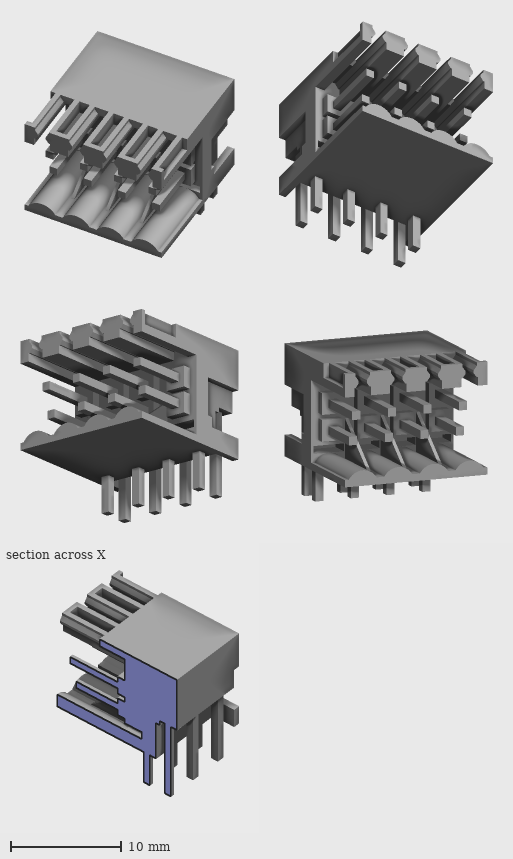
import cadquery as cq
import math

CONTACTS = 4
WIDTH = 14.0
DEPTH = 14.2
HEIGHT = 10.5
PITCH = WIDTH / CONTACTS
CONTACT_X = [PITCH * (i + 0.5) for i in range(CONTACTS)]
DIVIDER_X = [PITCH * i for i in range(1, CONTACTS)]

CAVITY_DEPTH = 8.0
FLOOR_THICKNESS = 0.67
ARM_THICKNESS = 2.16
CAVITY_TOP = HEIGHT - ARM_THICKNESS

RIDGE_RADIUS = 1.6
RIDGE_TOP = 1.45
RIB_THICKNESS = 0.33
RIB_HEIGHT = 3.83
RIB_LENGTH = 5.32

SLOT_LENGTH = 5.01
SLOT_MOUTH_HALF = 0.71
SLOT_THROAT_HALF = 0.4
SLOT_FLARE_HALF = 0.68
SLOT_BASE_HALF = 0.81
MOUTH_DROP = 0.28
THROAT_DROP = 0.71
ROOF_THICKNESS = 0.85
THROAT_END_DROP = 0.97
FLARE_DROP = 1.35

POCKET_WIDTH = 1.05
POCKET_DEPTH = 1.35
ARM_END_WALL = 0.48

WINDOW_WIDTH = 3.0
WINDOW_HEIGHT = 0.74
WINDOW_DEPTH = 1.99

PIN_SIZE = 0.8
COLLAR_SIZE = 2.02
COLLAR_THICKNESS = 0.85
ROW_SPACING = 2.5
LOWER_PIN_Z = 3.72
UPPER_PIN_Z = LOWER_PIN_Z + ROW_SPACING
LOWER_PIN_TIP = 2.25
UPPER_PIN_TIP = 1.52
TAIL_LENGTH = 3.51
REAR_TAIL_Y = DEPTH - 1.11
FRONT_TAIL_Y = REAR_TAIL_Y - ROW_SPACING

CHEEK_THICKNESS = 0.7
CUTOUT_DEPTH = 4.49
CUTOUT_STEP_DEPTH = 3.93
CUTOUT_TOP = 6.66
CUTOUT_STEP_Z = 2.98
CUTOUT_BOTTOM = 2.0
RECESS_DEPTH = 2.47
RECESS_LIP_DEPTH = 2.0
RECESS_TOP = 4.6
RECESS_LIP_Z = 4.12


def box(x_range, y_range, z_range):
    """Box spanning the given (low, high) ranges."""
    ranges = (x_range, y_range, z_range)
    sizes = [high - low for low, high in ranges]
    corner = tuple(low for low, high in ranges)
    return cq.Workplane("XY").box(*sizes, centered=False).translate(corner)


def around(center, size):
    """Range of the given size about a center."""
    return (center - size / 2, center + size / 2)


def side_prism(points, x_range):
    """Prism along X from a (y, z) outline."""
    low, high = x_range
    return cq.Workplane("YZ", origin=(low, 0, 0)).polyline(points).close().extrude(high - low)


def make_core():
    """Full-height body with its C-shaped side outline."""
    block = box((0, WIDTH), (0, DEPTH), (0, HEIGHT))
    return block.cut(box((0, WIDTH), (0, CAVITY_DEPTH), (FLOOR_THICKNESS, CAVITY_TOP)))


def make_rear_recess():
    """Stepped space between the cheeks, open to the rear and the underside."""
    outline = [
        (DEPTH, 0),
        (DEPTH, RECESS_TOP),
        (DEPTH - RECESS_LIP_DEPTH, RECESS_TOP),
        (DEPTH - RECESS_LIP_DEPTH, RECESS_LIP_Z),
        (DEPTH - RECESS_DEPTH, RECESS_LIP_Z),
        (DEPTH - RECESS_DEPTH, 0),
    ]
    return side_prism(outline, (CHEEK_THICKNESS, WIDTH - CHEEK_THICKNESS))


def make_cheek_cutout(x_low):
    """Stepped cut-out through the cheek that starts at x_low."""
    outline = [
        (DEPTH, CUTOUT_BOTTOM),
        (DEPTH, CUTOUT_TOP),
        (DEPTH - CUTOUT_DEPTH, CUTOUT_TOP),
        (DEPTH - CUTOUT_DEPTH, CUTOUT_STEP_Z),
        (DEPTH - CUTOUT_STEP_DEPTH, CUTOUT_STEP_Z),
        (DEPTH - CUTOUT_STEP_DEPTH, CUTOUT_BOTTOM),
    ]
    return side_prism(outline, (x_low, x_low + CHEEK_THICKNESS))


def make_latch_slot(x):
    """Waisted slot between latch arms; below the roof it runs on to the cavity wall."""
    half_outline = [
        (SLOT_MOUTH_HALF, 0),
        (SLOT_MOUTH_HALF, MOUTH_DROP),
        (SLOT_THROAT_HALF, THROAT_DROP),
        (SLOT_THROAT_HALF, THROAT_END_DROP),
        (SLOT_FLARE_HALF, FLARE_DROP),
        (SLOT_BASE_HALF, FLARE_DROP),
        (SLOT_BASE_HALF, ARM_THICKNESS),
    ]
    right = [(x + half, HEIGHT - drop) for half, drop in half_outline]
    left = [(x - half, HEIGHT - drop) for half, drop in reversed(half_outline)]
    slot = cq.Workplane("XZ").polyline(right + left).close().extrude(-CAVITY_DEPTH)
    roof = box(
        around(x, 2 * SLOT_BASE_HALF),
        (SLOT_LENGTH, CAVITY_DEPTH),
        (HEIGHT - ROOF_THICKNESS, HEIGHT),
    )
    return slot.cut(roof)


def make_arm_pocket(x):
    return box(around(x, POCKET_WIDTH), (ARM_END_WALL, SLOT_LENGTH), (HEIGHT - POCKET_DEPTH, HEIGHT))


def make_window(x):
    return box(
        around(x, WINDOW_WIDTH),
        (CAVITY_DEPTH, CAVITY_DEPTH + WINDOW_DEPTH),
        (RIDGE_TOP, RIDGE_TOP + WINDOW_HEIGHT),
    )


def make_ridge(x):
    """Circular-segment ridge standing on the floor plate."""
    rise = RIDGE_TOP - FLOOR_THICKNESS
    half_chord = math.sqrt(RIDGE_RADIUS**2 - (RIDGE_RADIUS - rise) ** 2)
    return (
        cq.Workplane("XZ")
        .moveTo(x - half_chord, FLOOR_THICKNESS)
        .threePointArc((x, RIDGE_TOP), (x + half_chord, FLOOR_THICKNESS))
        .close()
        .extrude(-CAVITY_DEPTH)
    )


def make_rib(x):
    """Triangular rib bracing the cavity wall against the floor plate."""
    outline = [
        (CAVITY_DEPTH, FLOOR_THICKNESS),
        (CAVITY_DEPTH, FLOOR_THICKNESS + RIB_HEIGHT),
        (CAVITY_DEPTH - RIB_LENGTH, FLOOR_THICKNESS),
    ]
    return side_prism(outline, around(x, RIB_THICKNESS))


def make_contact(x, pin_z, tip_y, tail_y):
    """Right-angle square pin with a collar where it leaves the cavity wall."""
    pin_x = around(x, PIN_SIZE)
    pin = box(pin_x, (tip_y, tail_y + PIN_SIZE / 2), around(pin_z, PIN_SIZE))
    tail = box(pin_x, around(tail_y, PIN_SIZE), (-TAIL_LENGTH, pin_z))
    collar = box(
        around(x, COLLAR_SIZE),
        (CAVITY_DEPTH - COLLAR_THICKNESS, CAVITY_DEPTH),
        around(pin_z, COLLAR_SIZE),
    )
    return pin.union(tail).union(collar)


result = make_core().cut(make_rear_recess())
for cheek_x in (0, WIDTH - CHEEK_THICKNESS):
    result = result.cut(make_cheek_cutout(cheek_x))
for contact_x in CONTACT_X:
    result = result.cut(make_latch_slot(contact_x))
    result = result.cut(make_window(contact_x))
    result = result.union(make_ridge(contact_x))
for pocket_x in [0, *DIVIDER_X, WIDTH]:
    result = result.cut(make_arm_pocket(pocket_x))
for rib_x in DIVIDER_X:
    result = result.union(make_rib(rib_x))

for contact_x in CONTACT_X:
    result = result.union(make_contact(contact_x, UPPER_PIN_Z, UPPER_PIN_TIP, REAR_TAIL_Y))
    result = result.union(make_contact(contact_x, LOWER_PIN_Z, LOWER_PIN_TIP, FRONT_TAIL_Y))